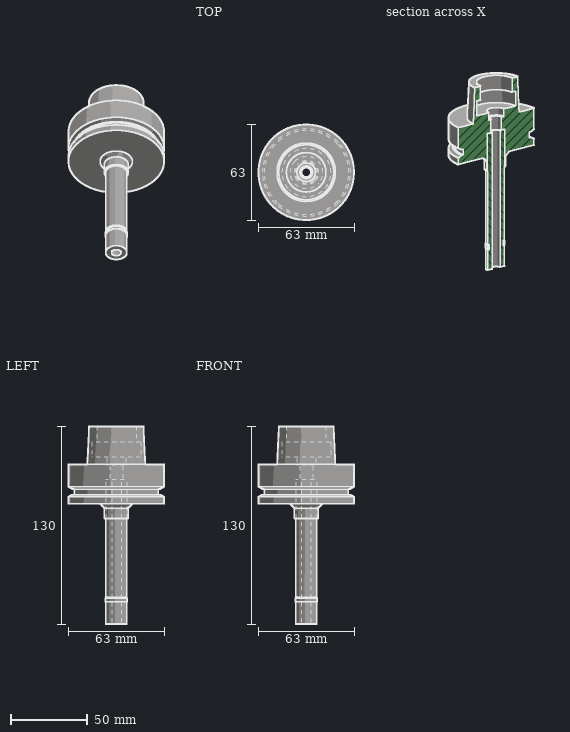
import cadquery as cq

TOTAL_HEIGHT = 130.0

SHANK_LENGTH = 25.0
SHANK_TOP_RADIUS = 18.1
SHANK_BASE_RADIUS = 19.2
MOUTH_RADIUS = 13.0
MOUTH_DEPTH = 10.0
UNDERCUT_RADIUS = 16.0
SOCKET_DEPTH = 20.0

FLANGE_DIAMETER = 63.0
FLANGE_RADIUS = FLANGE_DIAMETER / 2
FLANGE_THICKNESS = 26.0
LOWER_RIM_THICKNESS = 4.7
GROOVE_MOUTH_WIDTH = 6.6
GROOVE_SLOT_WIDTH = 3.6
GROOVE_LEDGE_RADIUS = 28.9
GROOVE_FLOOR_RADIUS = 27.7

NECK_RADIUS = 7.9
NECK_LENGTH = 9.8
NECK_CONE_HEIGHT = 2.7
NECK_CHAMFER = 0.4

PORT_RADIUS = 6.1
PORT_DEPTH = 5.2
PASSAGE_RADIUS = 4.2

ROD_RADIUS = 7.0
ROD_BORE_RADIUS = 3.1
ROD_INSERTION = 26.0

RING_RADIUS = 7.2
RING_HEIGHT = 2.3
RING_BOTTOM_Z = 14.7
RING_GROOVE_RADIUS = 6.1
RING_GROOVE_HEIGHT = 3.1

FLANGE_TOP_Z = TOTAL_HEIGHT - SHANK_LENGTH
FLANGE_BOTTOM_Z = FLANGE_TOP_Z - FLANGE_THICKNESS
NECK_BOTTOM_Z = FLANGE_BOTTOM_Z - NECK_LENGTH
SOCKET_FLOOR_Z = TOTAL_HEIGHT - SOCKET_DEPTH
ROD_TOP_Z = NECK_BOTTOM_Z + ROD_INSERTION


def cylinder(radius, bottom_z, top_z):
    """Upright cylinder on the Z axis between two levels."""
    return cq.Workplane("XY").workplane(offset=bottom_z).circle(radius).extrude(top_z - bottom_z)


def revolve_outline(points):
    """Revolve a closed (radius, z) outline about the Z axis."""
    return cq.Workplane("XZ").polyline(points).close().revolve(360, (0, 0), (0, 1))


def make_shank():
    return revolve_outline([
        (0, FLANGE_TOP_Z),
        (SHANK_BASE_RADIUS, FLANGE_TOP_Z),
        (SHANK_TOP_RADIUS, TOTAL_HEIGHT),
        (0, TOTAL_HEIGHT),
    ])


def make_flange():
    groove_bottom = FLANGE_BOTTOM_Z + LOWER_RIM_THICKNESS
    groove_top = groove_bottom + GROOVE_MOUTH_WIDTH
    flank_height = (GROOVE_MOUTH_WIDTH - GROOVE_SLOT_WIDTH) / 2
    slot_bottom = groove_bottom + flank_height
    slot_top = groove_top - flank_height
    return revolve_outline([
        (0, FLANGE_BOTTOM_Z),
        (FLANGE_RADIUS, FLANGE_BOTTOM_Z),
        (FLANGE_RADIUS, groove_bottom),
        (GROOVE_LEDGE_RADIUS, slot_bottom),
        (GROOVE_FLOOR_RADIUS, slot_bottom),
        (GROOVE_FLOOR_RADIUS, slot_top),
        (GROOVE_LEDGE_RADIUS, slot_top),
        (FLANGE_RADIUS, groove_top),
        (FLANGE_RADIUS, FLANGE_TOP_Z),
        (0, FLANGE_TOP_Z),
    ])


def make_neck():
    """Chamfered collar that flares at 45 degrees into the flange."""
    return revolve_outline([
        (0, NECK_BOTTOM_Z),
        (NECK_RADIUS - NECK_CHAMFER, NECK_BOTTOM_Z),
        (NECK_RADIUS, NECK_BOTTOM_Z + NECK_CHAMFER),
        (NECK_RADIUS, FLANGE_BOTTOM_Z - NECK_CONE_HEIGHT),
        (NECK_RADIUS + NECK_CONE_HEIGHT, FLANGE_BOTTOM_Z),
        (0, FLANGE_BOTTOM_Z),
    ])


def make_holder():
    body = make_shank().union(make_flange()).union(make_neck())
    mouth_bottom_z = TOTAL_HEIGHT - MOUTH_DEPTH
    port_bottom_z = SOCKET_FLOOR_Z - PORT_DEPTH
    mouth = cylinder(MOUTH_RADIUS, mouth_bottom_z, TOTAL_HEIGHT)
    undercut = cylinder(UNDERCUT_RADIUS, SOCKET_FLOOR_Z, mouth_bottom_z)
    port = cylinder(PORT_RADIUS, port_bottom_z, SOCKET_FLOOR_Z)
    passage = cylinder(PASSAGE_RADIUS, ROD_TOP_Z, port_bottom_z)
    rod_seat = cylinder(ROD_RADIUS, NECK_BOTTOM_Z, ROD_TOP_Z)
    return body.cut(mouth).cut(undercut).cut(port).cut(passage).cut(rod_seat)


def make_ring(outer_radius, height, bottom_z):
    """Flat ring around the Z axis whose inner wall lies on the floor of the rod groove."""
    top_z = bottom_z + height
    return cylinder(outer_radius, bottom_z, top_z).cut(cylinder(RING_GROOVE_RADIUS, bottom_z, top_z))


def make_rod():
    """Tube with a groove that is a little taller than the retaining ring."""
    tube = cylinder(ROD_RADIUS, 0, ROD_TOP_Z).cut(cylinder(ROD_BORE_RADIUS, 0, ROD_TOP_Z))
    return tube.cut(make_ring(ROD_RADIUS, RING_GROOVE_HEIGHT, RING_BOTTOM_Z))


def make_retaining_ring():
    """Ring resting on the lower wall of the rod groove."""
    return make_ring(RING_RADIUS, RING_HEIGHT, RING_BOTTOM_Z)


holder = make_holder()
rod = make_rod()
retaining_ring = make_retaining_ring()

result = cq.Compound.makeCompound([holder.val(), rod.val(), retaining_ring.val()])